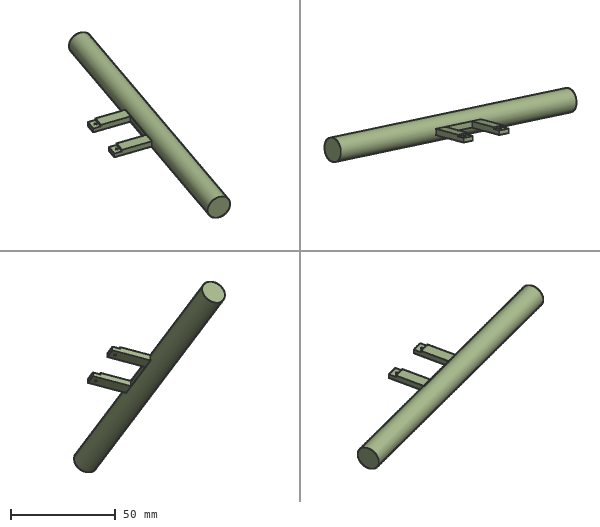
import cadquery as cq

bar_length = 150.0
bar_diameter = 12.0
bar_radius = bar_diameter / 2

overall_depth = 31.8
arm_tip_y = bar_radius - overall_depth
arm_width = 6.0
arm_height = 3.2
arm_spacing = 22.8

tab_length = 4.0
tab_drop = 0.9
hole_diameter = 1.0
hole_from_tip = 2.7


def make_bar():
    bar = cq.Workplane("YZ").circle(bar_radius).extrude(bar_length / 2, both=True)
    return bar


def make_web():
    """Flat-faced strip joining the arms, flush with the front of the bar."""
    return cq.Workplane("XY").box(
        arm_spacing + arm_width, bar_radius, arm_height, centered=(True, False, True)
    ).translate((0, -bar_radius, 0))


def make_arm(center_x):
    """Stepped arm, rooted on the bar axis, with a vertical hole in its tab."""
    top = arm_height / 2
    tab_root_y = arm_tip_y + tab_length
    profile = [
        (0, -top),
        (arm_tip_y, -top),
        (arm_tip_y, top - tab_drop),
        (tab_root_y, top - tab_drop),
        (tab_root_y, top),
        (0, top),
    ]
    arm = cq.Workplane("YZ").polyline(profile).close().extrude(arm_width / 2, both=True)
    hole = (
        cq.Workplane("XY")
        .center(0, arm_tip_y + hole_from_tip)
        .circle(hole_diameter / 2)
        .extrude(arm_height, both=True)
    )
    return arm.cut(hole).translate((center_x, 0, 0))


result = make_bar().union(make_web())
for side in (-1, 1):
    result = result.union(make_arm(side * arm_spacing / 2))